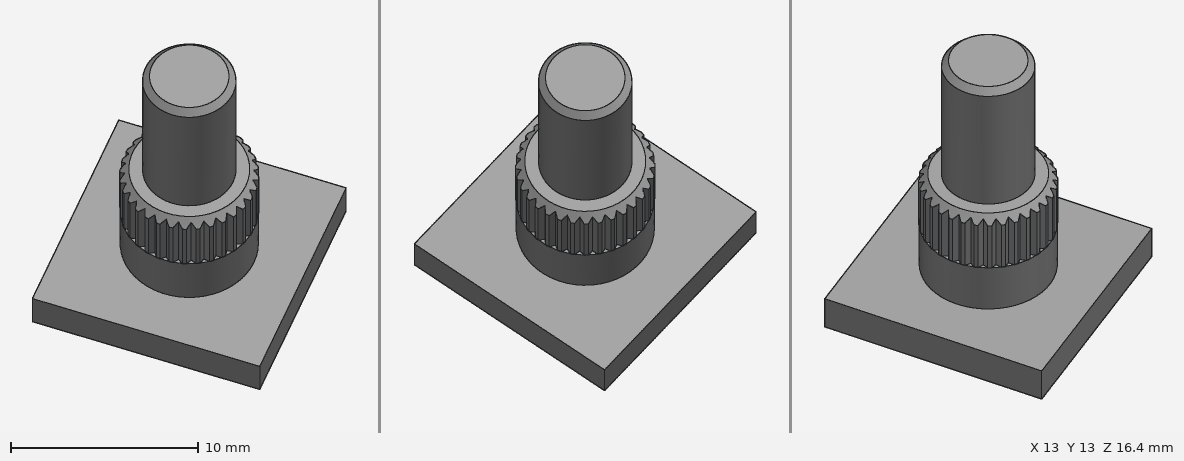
import cadquery as cq
import math

total_height = 16.4
plate_side = 13.0
plate_thickness = 2.0

neck_diameter = 7.4

collar_diameter = 7.45
collar_bottom = 4.92
collar_top = 8.4
collar_chamfer = 0.5

groove_count = 32
groove_depth = 0.26
groove_angle = 90.0

stud_diameter = 5.0
stud_chamfer = 0.38


def cylinder(diameter, bottom, top):
    """Upright cylinder on the Z axis between two heights."""
    return cq.Workplane("XY").workplane(offset=bottom).circle(diameter / 2).extrude(top - bottom)


def chamfered_cylinder(diameter, bottom, top, chamfer):
    """Upright cylinder with a chamfered top rim."""
    return cylinder(diameter, bottom, top).faces(">Z").edges().chamfer(chamfer)


def make_plate():
    """Square base plate resting on Z = 0."""
    return cq.Workplane("XY").box(plate_side, plate_side, plate_thickness, centered=(True, True, False))


def make_groove_cutter():
    """Upright V-shaped cutter on the +X side, with its tip pointing at the axis."""
    tip_radius = collar_diameter / 2 - groove_depth
    cutter_depth = 2 * groove_depth
    mouth_radius = tip_radius + cutter_depth
    half_mouth = cutter_depth * math.tan(math.radians(groove_angle / 2))
    return (
        cq.Workplane("XY")
        .workplane(offset=collar_bottom)
        .moveTo(tip_radius, 0)
        .lineTo(mouth_radius, half_mouth)
        .lineTo(mouth_radius, -half_mouth)
        .close()
        .extrude(collar_top - collar_bottom)
    )


def make_collar():
    """Chamfered collar with evenly spaced knurl grooves, the first one facing +X."""
    collar = chamfered_cylinder(collar_diameter, collar_bottom, collar_top, collar_chamfer)
    cutter = make_groove_cutter()
    for index in range(groove_count):
        angle = index * 360 / groove_count
        collar = collar.cut(cutter.rotate((0, 0, 0), (0, 0, 1), angle))
    return collar


plate = make_plate()
neck = cylinder(neck_diameter, plate_thickness, collar_bottom)
collar = make_collar()
stud = chamfered_cylinder(stud_diameter, collar_top, total_height, stud_chamfer)

result = plate.union(neck).union(collar).union(stud)